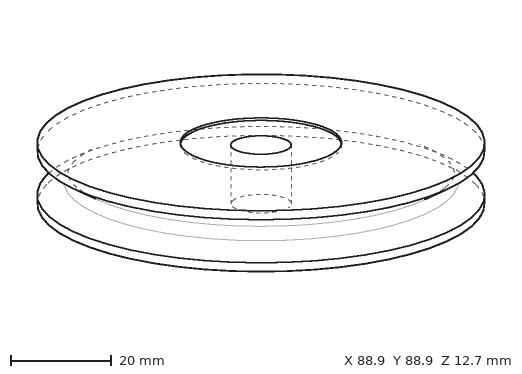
import cadquery as cq
import math

outer_diameter = 88.9
width = 12.7
bore_diameter = 12.0

recess_diameter = 32.0
recess_depth = 0.5

rim_land = 1.9
groove_bottom_diameter = 76.8
groove_slope = math.radians(30)

outer_radius = outer_diameter / 2
groove_bottom_radius = groove_bottom_diameter / 2
mid_height = width / 2

apex_radius = outer_radius - (mid_height - rim_land) / math.tan(groove_slope)
arc_radius = (groove_bottom_radius - apex_radius) / (1 / math.sin(groove_slope) - 1)
arc_center = groove_bottom_radius + arc_radius
tangent_radius = arc_center - arc_radius * math.sin(groove_slope)
tangent_offset = arc_radius * math.cos(groove_slope)


def make_grooved_disc():
    """Revolve the half section of the solid disc about the Z axis."""
    section = (
        cq.Workplane("XZ")
        .lineTo(outer_radius, 0)
        .lineTo(outer_radius, rim_land)
        .lineTo(tangent_radius, mid_height - tangent_offset)
        .threePointArc(
            (groove_bottom_radius, mid_height),
            (tangent_radius, mid_height + tangent_offset),
        )
        .lineTo(outer_radius, width - rim_land)
        .lineTo(outer_radius, width)
        .lineTo(0, width)
        .close()
    )
    return section.revolve(360, (0, 0, 0), (0, 1, 0))


def make_cutter(diameter, bottom, height):
    """Vertical cylinder on the pulley axis."""
    return cq.Workplane("XY").workplane(offset=bottom).circle(diameter / 2).extrude(height)


bore = make_cutter(bore_diameter, 0, width)
recess = make_cutter(recess_diameter, width - recess_depth, recess_depth)
result = make_grooved_disc().cut(bore).cut(recess)